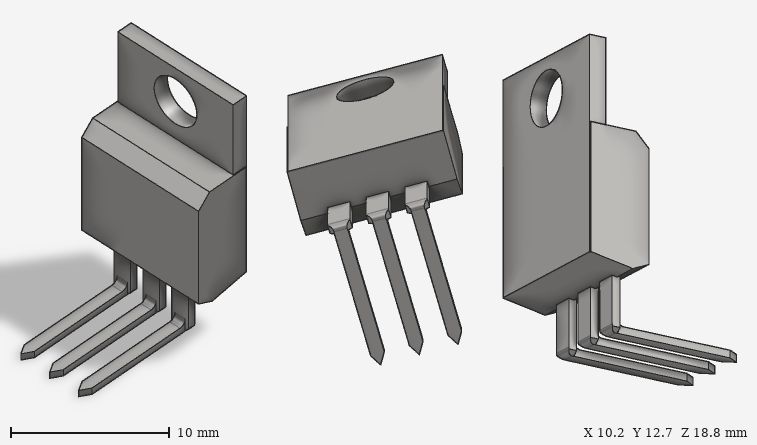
import cadquery as cq

total_height = 18.77
total_depth = 12.65

tab_width = 10.12
tab_thickness = 1.22
hole_diameter = 3.74
hole_height = 16.01

body_width = 10.25
body_back = 0.05
body_front = 4.43
body_top = 12.91
body_side_bottom = 4.17
body_lowest = 3.65
ridge_depth = 3.21
top_bevel = 1.0

lead_count = 3
lead_pitch = 2.53
lead_back = 2.85
shank_width = 1.46
shank_thickness = 0.58
shank_corner = 0.3
pin_width = 0.9
pin_thickness = 0.53
outer_bend_radius = 0.43
inner_bend_radius = 0.47
tip_length = 0.77
shank_front = lead_back + shank_thickness
shank_top = body_lowest + shank_thickness


def extrude_side_profile(points, width):
    """Extrude a (Y, Z) outline symmetrically about X = 0."""
    return cq.Workplane("YZ").polyline(points).close().extrude(width / 2, both=True)


def make_body():
    return extrude_side_profile(
        [
            (-body_back, body_side_bottom),
            (-body_back, body_top),
            (top_bevel - body_front, body_top),
            (-body_front, body_top - top_bevel),
            (-body_front, body_side_bottom),
            (-ridge_depth, body_lowest),
        ],
        body_width,
    )


def make_tab():
    tab_height = total_height - body_side_bottom
    tab = cq.Workplane("XY", origin=(0, -tab_thickness / 2, body_side_bottom)).box(
        tab_width, tab_thickness, tab_height, centered=(True, True, False)
    )
    hole = (
        cq.Workplane("XZ")
        .center(0, hole_height)
        .circle(hole_diameter / 2)
        .extrude(tab_thickness)
    )
    return tab.cut(hole)


def make_shank():
    """Wide upright strip with bevelled lower corners and a rounded heel."""
    half_width = shank_width / 2
    strip = (
        cq.Workplane("XZ", origin=(0, -lead_back, 0))
        .polyline(
            [
                (-half_width, shank_top),
                (-half_width, shank_corner),
                (shank_corner - half_width, 0),
                (half_width - shank_corner, 0),
                (half_width, shank_corner),
                (half_width, shank_top),
            ]
        )
        .close()
        .extrude(shank_thickness)
    )
    bend_envelope = (
        cq.Workplane("XY", origin=(0, -(lead_back + shank_front) / 2, 0))
        .box(shank_width, shank_thickness, shank_top, centered=(True, True, False))
        .edges(">Y and <Z")
        .fillet(outer_bend_radius)
    )
    return strip.intersect(bend_envelope)


def make_pin():
    """Narrow forward strip ending in a point."""
    half_width = pin_width / 2
    return (
        cq.Workplane("XY")
        .polyline(
            [
                (-half_width, -shank_front),
                (half_width, -shank_front),
                (half_width, tip_length - total_depth),
                (0, -total_depth),
                (-half_width, tip_length - total_depth),
            ]
        )
        .close()
        .extrude(pin_thickness)
    )


def make_inner_bend():
    """Concave fillet between the shank and the top of the pin."""
    bend_front = -shank_front - inner_bend_radius
    bend_top = pin_thickness + inner_bend_radius
    corner = extrude_side_profile(
        [
            (-shank_front, pin_thickness),
            (-shank_front, bend_top),
            (bend_front, bend_top),
            (bend_front, pin_thickness),
        ],
        pin_width,
    )
    hollow = (
        cq.Workplane("YZ")
        .center(bend_front, bend_top)
        .circle(inner_bend_radius)
        .extrude(pin_width / 2, both=True)
    )
    return corner.cut(hollow)


lead = make_shank().union(make_pin()).union(make_inner_bend())

result = make_body().union(make_tab())
for index in range(lead_count):
    lead_x = (index - (lead_count - 1) / 2) * lead_pitch
    result = result.union(lead.translate((lead_x, 0, 0)))